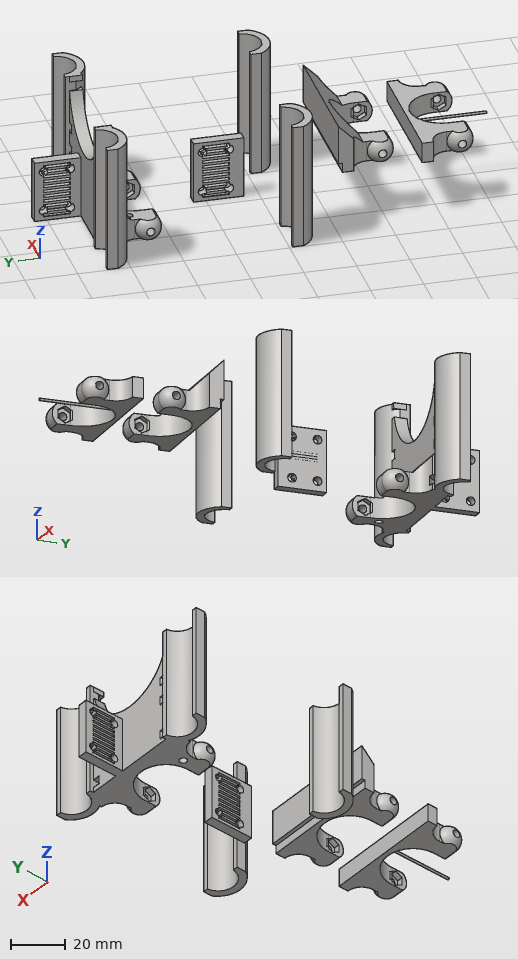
import cadquery as cq
import math

arm_height = 8.0
arm_mid_z = arm_height / 2
arm_inner_x = 12.0
arm_outer_x = 18.75
ball_radius = 5.1
ball_x = 17.4
arch_radius = arm_inner_x
arch_centre_y = 2.0
relief_radius = 6.5
bracket_front_y = 11.7
bracket_half_width = arm_outer_x + relief_radius
flat_back_y = 16.0
step_depth = 1.5
step_height = 3.7
sloped_back_y = flat_back_y + step_depth
slope_start_y = 6.5
sloped_height = arm_height + sloped_back_y - slope_start_y
lug_hole_diameter = 3.1
nut_across_corners = 6.6
nut_depth = 2.5
nut_turn = 30.0

saddle_height = 49.0
saddle_x = 30.0
saddle_width = 19.0
saddle_outer_radius = 11.0
saddle_inner_radius = 7.4
saddle_outer_centre_y = 1.5
saddle_inner_centre_y = 1.0

web_front_y = 14.5
web_thickness = 5.0
web_back_y = web_front_y + web_thickness
web_arc_radius = 20.5
web_arc_centre_z = 48.0
tie_slot_radius = 13.1
tie_slot_height = 3.5
tie_slot_centres_z = (4.0, 19.75, 28.75, 45.0)
cable_hole_diameter = 3.1
cable_hole_x = -15.0
cable_hole_y = 6.5

plate_x = 3.9
plate_thickness = 4.0
plate_length = 19.0
plate_height = 24.0
plate_hole_diameter = 3.3
plate_hole_pitch_y = 10.0
plate_hole_pitch_z = 16.0
plate_hole_edge = 3.5
groove_count = 11
groove_pitch = 2.0
groove_height = 1.0
groove_length = plate_hole_pitch_y
groove_floor_radius = 23.0
groove_floor_centre_z = 13.0
groove_end_depth = 0.5
groove_end_reach = 11.5

pin_diameter = 1.0
pin_end_y = -132.5

frame_plate_back_y = 37.0
frame_saddle_back_y = 21.0
free_plate_back_y = -23.0
free_saddle_back_y = -49.0
sloped_bracket_y = -87.5
flat_bracket_y = -117.6
free_bracket_z = saddle_height / 2 - arm_mid_z

sides = (-1, 1)
clear = 40.0


def box(x0, x1, y0, y1, z0, z1):
    """Box between two corners; the X limits may come in either order."""
    left = min(x0, x1)
    block = cq.Workplane("XY").box(abs(x1 - x0), y1 - y0, z1 - z0, centered=False)
    return block.translate((left, y0, z0))


def cylinder_z(x, y, radius, z0, z1):
    return cq.Workplane("XY", origin=(x, y, z0)).circle(radius).extrude(z1 - z0)


def cylinder_x(y, z, radius, x0, x1):
    left = min(x0, x1)
    return cq.Workplane("YZ", origin=(left, y, z)).circle(radius).extrude(abs(x1 - x0))


def arm(side):
    """Straight arm ending in a ball, cut flat above and below."""
    inner = side * arm_inner_x
    bar = box(inner, side * arm_outer_x, 0, bracket_front_y, 0, arm_height)
    ball = cq.Workplane("XY", origin=(side * ball_x, 0, arm_mid_z)).sphere(ball_radius)
    barrel = cylinder_x(0, arm_mid_z, ball_radius, inner, side * ball_x)
    flats = box(inner, side * clear, -clear, clear, 0, arm_height)
    return bar.union(ball.union(barrel).intersect(flats))


def lug_hole(side):
    """Screw hole along X with a hexagonal nut pocket on the inner face."""
    inner = side * arm_inner_x
    hole = cylinder_x(0, arm_mid_z, lug_hole_diameter / 2, inner, side * clear)
    pocket_left = min(inner, inner + side * nut_depth)
    pocket = (
        cq.Workplane("YZ", origin=(pocket_left, 0, arm_mid_z))
        .transformed(rotate=(0, 0, nut_turn))
        .polygon(6, nut_across_corners)
        .extrude(nut_depth)
    )
    return hole.union(pocket)


def bracket_base(back_y, height):
    """Block with a rounded relief at each outer front corner."""
    base = box(-bracket_half_width, bracket_half_width, 0, back_y, 0, height)
    relief_y = bracket_front_y - relief_radius
    for side in sides:
        base = base.cut(box(side * arm_outer_x, side * clear, 0, relief_y, 0, height))
        base = base.cut(cylinder_z(side * bracket_half_width, relief_y, relief_radius, 0, height))
    return base


def finish_bracket(base, height):
    """Add the arms, then cut the arch and the lug holes."""
    for side in sides:
        base = base.union(arm(side))
    base = base.cut(cylinder_z(0, arch_centre_y, arch_radius, 0, height))
    base = base.cut(box(-arch_radius, arch_radius, -clear, arch_centre_y, 0, height))
    for side in sides:
        base = base.cut(lug_hole(side))
    return base


def flat_bracket():
    return finish_bracket(bracket_base(flat_back_y, arm_height), arm_height)


def sloped_bracket(stepped):
    """Bracket with a 45 degree top, and a step under its back edge if stepped."""
    base = bracket_base(sloped_back_y, sloped_height)
    above_slope = (
        cq.Workplane("YZ", origin=(-clear, 0, 0))
        .moveTo(0, arm_height)
        .lineTo(slope_start_y, arm_height)
        .lineTo(sloped_back_y, sloped_height)
        .lineTo(0, sloped_height)
        .close()
        .extrude(2 * clear)
    )
    base = base.cut(above_slope)
    if stepped:
        base = base.cut(box(-clear, clear, flat_back_y, sloped_back_y, 0, step_height))
    return finish_bracket(base, sloped_height)


def saddle(side, back_y):
    shell = cylinder_z(0, saddle_outer_centre_y, saddle_outer_radius, 0, saddle_height)
    half_width = saddle_width / 2
    shell = shell.intersect(box(-half_width, half_width, -clear, 0, 0, saddle_height))
    shell = shell.cut(cylinder_z(0, saddle_inner_centre_y, saddle_inner_radius, 0, saddle_height))
    return shell.translate((side * saddle_x, back_y, 0))


def grooved_plate(back_y, length):
    """Plate with four holes and a row of grooves whose floors lie on one cylinder."""
    face_x = plate_x + plate_thickness
    plate = box(plate_x, face_x, back_y - length, back_y, 0, plate_height)
    mid_y = back_y - plate_hole_edge - plate_hole_pitch_y / 2
    mid_z = plate_height / 2

    floor_x = plate_x + groove_end_depth - math.sqrt(groove_floor_radius**2 - groove_end_reach**2)
    floor = (
        cq.Workplane("XZ", origin=(floor_x, mid_y + groove_length, groove_floor_centre_z))
        .circle(groove_floor_radius)
        .extrude(2 * groove_length)
    )
    for index in range(groove_count):
        z = mid_z + (index - (groove_count - 1) / 2) * groove_pitch
        groove = box(
            plate_x, face_x,
            mid_y - groove_length / 2, mid_y + groove_length / 2,
            z - groove_height / 2, z + groove_height / 2,
        )
        plate = plate.cut(groove.intersect(floor))

    for side_y in sides:
        for side_z in sides:
            y = mid_y + side_y * plate_hole_pitch_y / 2
            z = mid_z + side_z * plate_hole_pitch_z / 2
            plate = plate.cut(cylinder_x(y, z, plate_hole_diameter / 2, plate_x, face_x))
    return plate


def frame():
    """Web joining two saddles, a sloped bracket and a grooved plate in one piece."""
    body = box(-saddle_x, saddle_x, web_front_y, web_back_y, 0, saddle_height)
    arc = (
        cq.Workplane("XZ", origin=(0, clear, web_arc_centre_z))
        .circle(web_arc_radius)
        .extrude(clear)
    )
    body = body.cut(arc).union(sloped_bracket(stepped=False))
    for side in sides:
        x = side * saddle_x
        slot_y = frame_saddle_back_y + saddle_outer_centre_y
        bore_y = frame_saddle_back_y + saddle_inner_centre_y
        for z in tie_slot_centres_z:
            bottom = z - tie_slot_height / 2
            body = body.cut(cylinder_z(x, slot_y, tie_slot_radius, bottom, bottom + tie_slot_height))
        body = body.cut(cylinder_z(x, bore_y, saddle_inner_radius, 0, saddle_height))
    for side in sides:
        body = body.union(saddle(side, frame_saddle_back_y))
    body = body.union(grooved_plate(frame_plate_back_y, frame_plate_back_y - web_back_y))
    return body.cut(cylinder_z(cable_hole_x, cable_hole_y, cable_hole_diameter / 2, 0, sloped_height))


def pin():
    """Thin pin standing on the crown of the flat bracket's arch."""
    start_y = flat_bracket_y + arch_centre_y + arch_radius
    base = cq.Workplane("XZ", origin=(0, start_y, free_bracket_z + arm_mid_z))
    return base.circle(pin_diameter / 2).extrude(start_y - pin_end_y)


free_saddles = [saddle(side, free_saddle_back_y) for side in sides]
free_sloped_bracket = sloped_bracket(stepped=True).translate((0, sloped_bracket_y, free_bracket_z))
free_flat_bracket = flat_bracket().translate((0, flat_bracket_y, free_bracket_z))

result = cq.Compound.makeCompound([
    frame().val(),
    grooved_plate(free_plate_back_y, plate_length).val(),
    *[shell.val() for shell in free_saddles],
    free_sloped_bracket.val(),
    free_flat_bracket.val(),
    pin().val(),
])